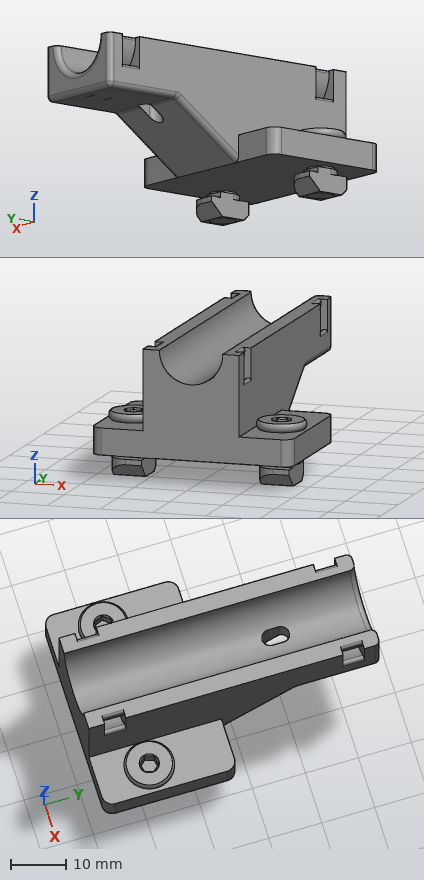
import cadquery as cq
import math


plate_width = 38.0
plate_length = 25.0
plate_thickness = 5.0
plate_corner_radius = 2.0

cradle_width = 18.2
cradle_length = 55.0
cradle_top = 20.0
channel_radius = 6.0
overhang_depth = 10.05
slope_angle = 35.0
slope_blend_radius = 1.0
cradle_edge_radius = 1.05
edge_tolerance = 0.05

drain_width = 3.0
drain_length = 5.05
drain_y = 38.05

strap_inner_radius = 8.0
strap_outer_radius = 10.0
strap_width = 4.0
strap_lip_radius = 0.5
strap_y_positions = (5.0, 50.0)

bolt_x = 13.95
bolt_y = 9.9
shank_radius = 2.5
head_radius = 4.55
head_rim_radius = 4.2
head_height = 1.6
socket_flats = 2.95
socket_mouth_radius = 1.8
socket_depth = 2.5
bolt_turns = (-38.0, -18.0)

nut_width = 6.05
nut_length = 10.1
nut_bottom_length = 5.05
nut_bottom = -5.0
nut_gap = 0.5
nut_neck_height = 1.05
nut_side_height = 1.0
nut_end_sweep = 1.55

bolt_positions = [(-bolt_x, bolt_y), (bolt_x, bolt_y)]
overhang_bottom = cradle_top - overhang_depth
slope_end_y = plate_length + overhang_bottom / math.tan(math.radians(slope_angle))


def make_cradle_block():
    """Cradle with its channel, sloped underside and rounded rear and lower edges."""
    side_outline = [
        (0, 0),
        (plate_length, 0),
        (slope_end_y, overhang_bottom),
        (cradle_length, overhang_bottom),
        (cradle_length, cradle_top),
        (0, cradle_top),
    ]
    block = (
        cq.Workplane("YZ")
        .polyline(side_outline)
        .close()
        .extrude(cradle_width / 2, both=True)
    )
    slope_corner = cq.NearestToPointSelector((0, slope_end_y, overhang_bottom))
    block = block.edges("|X").edges(slope_corner).fillet(slope_blend_radius)
    channel = (
        cq.Workplane("XZ", origin=(0, 0, cradle_top))
        .circle(channel_radius)
        .extrude(-cradle_length)
    )
    block = block.cut(channel)

    def is_rounded(edge):
        box = edge.BoundingBox()
        center = edge.Center()
        on_rear = box.ymin > cradle_length - edge_tolerance
        at_top = center.z > cradle_top - edge_tolerance
        behind_plate = box.ymin > plate_length - edge_tolerance
        along_side = box.ylen > edge_tolerance and box.xlen < edge_tolerance
        on_underside = center.z < overhang_bottom + edge_tolerance
        return (on_rear and not at_top) or (behind_plate and along_side and on_underside)

    rounded_edges = [edge for edge in block.edges().vals() if is_rounded(edge)]
    return block.newObject(rounded_edges).fillet(cradle_edge_radius)


def make_strap_groove(y):
    """Ring-shaped groove around the channel axis, centred at the given y."""
    return (
        cq.Workplane("XZ", origin=(0, y - strap_width / 2, cradle_top))
        .circle(strap_outer_radius)
        .circle(strap_inner_radius)
        .extrude(-strap_width)
    )


def round_strap_lips(holder):
    """Round the edges where the strap grooves open into the top and side faces."""
    side = cradle_width / 2
    lip_z = cradle_top - math.sqrt(strap_outer_radius**2 - side**2)
    lip_places = [(strap_inner_radius, cradle_top), (side, lip_z)]
    lips = holder.newObject([])
    for y in strap_y_positions:
        for x, z in lip_places:
            for mirrored_x in (-x, x):
                lips = lips.add(holder.edges(cq.NearestToPointSelector((mirrored_x, y, z))))
    return lips.fillet(strap_lip_radius)


def make_holder():
    """Base plate and cradle in one piece, with all of their openings."""
    plate = (
        cq.Workplane("XY")
        .center(0, plate_length / 2)
        .rect(plate_width, plate_length)
        .extrude(plate_thickness)
        .edges("|Z")
        .fillet(plate_corner_radius)
    )
    holder = make_cradle_block().union(plate)

    for y in strap_y_positions:
        holder = holder.cut(make_strap_groove(y))
    holder = round_strap_lips(holder)

    drain = (
        cq.Workplane("XY")
        .center(0, drain_y)
        .slot2D(drain_length, drain_width, 90)
        .extrude(cradle_top)
    )
    bolt_holes = (
        cq.Workplane("XY")
        .pushPoints(bolt_positions)
        .circle(shank_radius)
        .extrude(plate_thickness)
    )
    return holder.cut(drain).cut(bolt_holes)


def make_bolt(x, y, turn):
    """Bolt with a bulging flat-topped head and a hexagon socket, ending flush with the nut."""
    head_top = plate_thickness + head_height
    body = (
        cq.Workplane("XZ")
        .moveTo(0, nut_bottom)
        .lineTo(shank_radius, nut_bottom)
        .lineTo(shank_radius, plate_thickness)
        .lineTo(head_rim_radius, plate_thickness)
        .threePointArc((head_radius, plate_thickness + head_height / 2), (head_rim_radius, head_top))
        .lineTo(0, head_top)
        .close()
        .revolve(360, (0, 0, 0), (0, 1, 0))
    )
    socket = (
        cq.Workplane("XY", origin=(0, 0, head_top))
        .polygon(6, socket_flats, circumscribed=True)
        .extrude(-socket_depth)
    )
    socket_mouth = cq.Workplane(
        cq.Solid.makeCone(socket_mouth_radius, 0, socket_mouth_radius, (0, 0, head_top), (0, 0, -1))
    )
    bolt = body.cut(socket).cut(socket_mouth)
    return bolt.rotate((0, 0, 0), (0, 0, 1), turn).translate((x, y, 0))


def make_nut(x, y):
    """T-slot nut whose neck and body each have two opposite corners swept round for turning in."""
    half_width = nut_width / 2
    half_length = nut_length / 2
    neck_top = -nut_gap
    body_top = neck_top - nut_neck_height
    sweep_radius = (half_width**2 + nut_end_sweep**2) / (2 * nut_end_sweep)

    def rounded_plan(half_y, sweep, radius, bottom, top):
        """Prism whose (-x, -y) and (+x, +y) corners are arcs tangent to the ends."""
        return (
            cq.Workplane("XY", origin=(0, 0, bottom))
            .moveTo(0, -half_y)
            .lineTo(half_width, -half_y)
            .lineTo(half_width, half_y - sweep)
            .radiusArc((0, half_y), -radius)
            .lineTo(-half_width, half_y)
            .lineTo(-half_width, sweep - half_y)
            .radiusArc((0, -half_y), -radius)
            .close()
            .extrude(top - bottom)
        )

    neck = rounded_plan(half_width, half_width, half_width, body_top, neck_top)
    plan = rounded_plan(half_length, nut_end_sweep, sweep_radius, nut_bottom, body_top)
    end_profile = (
        cq.Workplane("YZ")
        .moveTo(-half_length, body_top)
        .lineTo(-half_length, body_top - nut_side_height)
        .lineTo(-nut_bottom_length / 2, nut_bottom)
        .lineTo(nut_bottom_length / 2, nut_bottom)
        .lineTo(half_length, body_top - nut_side_height)
        .lineTo(half_length, body_top)
        .close()
        .extrude(half_width, both=True)
    )
    thread_hole = (
        cq.Workplane("XY", origin=(0, 0, nut_bottom))
        .circle(shank_radius)
        .extrude(neck_top - nut_bottom)
    )
    return plan.intersect(end_profile).union(neck).cut(thread_hole).translate((x, y, 0))


holder = make_holder()
bolts = [make_bolt(x, y, turn) for (x, y), turn in zip(bolt_positions, bolt_turns)]
nuts = [make_nut(x, y) for x, y in bolt_positions]

result = cq.Compound.makeCompound(
    [holder.val()]
    + [bolt.val() for bolt in bolts]
    + [nut.val() for nut in nuts]
)